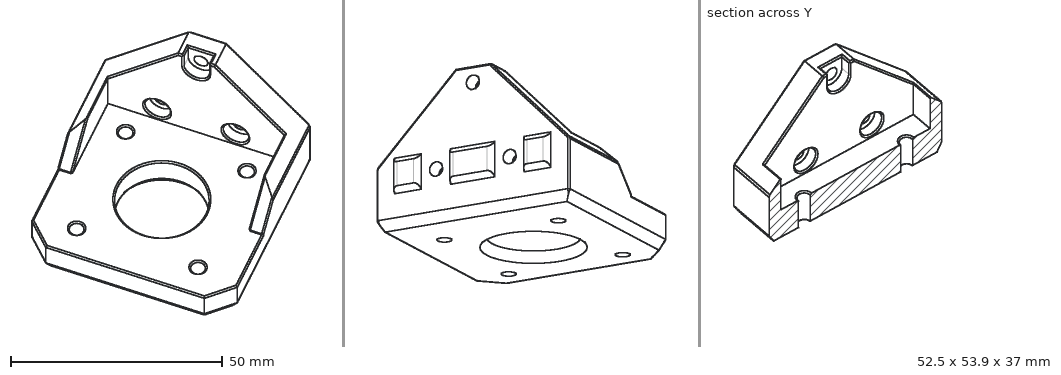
import cadquery as cq
import math

width = 52.5
depth = 52.5
height = 37.0
half_width = width / 2
back_y = 29.25
front_y = back_y - depth
front_corner = 6.0

edge_break = 0.4

bevel_inset = 1.5
bevel_angle = 30.0
bevel_height = bevel_inset / math.tan(math.radians(bevel_angle))

plate_top = 9.0
motor_hole_diameter = 3.5
motor_hole_pitch = 31.0
pilot_diameter = 22.4

back_wall = 7.5
side_wall = 3.7
inner_half_width = half_width - side_wall
inner_y = back_y - back_wall
peak_half_width = 4.75
shoulder_z = height - (half_width - peak_half_width)
side_wall_top = height - (inner_half_width - peak_half_width)
side_wall_front_y = -0.9
side_wall_toe_z = plate_top + 0.4
slope_top_y = side_wall_front_y + side_wall_top - side_wall_toe_z

screw_hole_diameter = 3.5
screw_head_diameter = 6.5
screw_head_seat_y = inner_y + 3.0
low_screw_x = 10.0
low_screw_z = 13.0
top_screw_z = 33.0

tab_projection = 1.4
tab_base_height = 8.8
tab_screw_gap = 8.0
middle_tab_length = 2 * low_screw_x - tab_screw_gap
outer_tab_length = 7.25
outer_tab_x = low_screw_x + (tab_screw_gap + outer_tab_length) / 2


pick = 0.1


def box_between(corner, opposite):
    """Block spanning two opposite corners."""
    size = [far - near for near, far in zip(corner, opposite)]
    return cq.Workplane("XY").box(*size, centered=False).translate(corner)


def edges_between(body, corner, opposite):
    """Edges of the body whose centres lie between two opposite corners."""
    return body.edges(cq.selectors.BoxSelector(corner, opposite))


def footprint(z):
    """Closed plan outline of the bracket at height z."""
    return cq.Workplane("XY", origin=(0, 0, z)).polyline([
        (-half_width, front_y + front_corner),
        (-half_width + front_corner, front_y),
        (half_width - front_corner, front_y),
        (half_width, front_y + front_corner),
        (half_width, back_y - edge_break),
        (half_width - edge_break, back_y),
        (-half_width + edge_break, back_y),
        (-half_width, back_y - edge_break),
    ]).close()


def make_underside():
    """Bevelled slab below the upright faces, narrowing downwards."""
    return footprint(bevel_height).extrude(-bevel_height, taper=bevel_angle)


def make_plate():
    """Motor plate with its top rim chamfered."""
    plate = footprint(bevel_height).extrude(plate_top - bevel_height)
    return plate.faces(">Z").edges("not >Y").chamfer(edge_break)


def make_gable_block():
    """Solid block under the 45 degree gable, reaching to the front of the side walls."""
    block_depth = back_y - side_wall_front_y
    gable = (
        cq.Workplane("XZ", origin=(0, back_y, 0))
        .polyline([
            (-half_width, bevel_height),
            (half_width, bevel_height),
            (half_width, shoulder_z),
            (peak_half_width, height),
            (-peak_half_width, height),
            (-half_width, shoulder_z),
        ])
        .close()
        .extrude(block_depth)
    )
    for x in (-half_width, half_width):
        gable = edges_between(
            gable,
            (x - pick, side_wall_front_y + pick, shoulder_z - pick),
            (x + pick, back_y - pick, shoulder_z + pick),
        ).chamfer(edge_break)
    return gable.faces(">Y").edges("not <Z").chamfer(edge_break)


def cut_inside(block):
    """Leave a back wall and two side walls with sloped fronts."""
    room = box_between(
        (-inner_half_width, side_wall_front_y, bevel_height), (inner_half_width, inner_y, height)
    )
    over_slope = (
        cq.Workplane("YZ", origin=(-half_width, 0, 0))
        .polyline([
            (side_wall_front_y, side_wall_toe_z),
            (slope_top_y, side_wall_top),
            (side_wall_front_y, side_wall_top),
        ])
        .close()
        .extrude(width)
    )
    return block.cut(room).cut(over_slope)


def break_wall_edges(walls):
    """Chamfer the rims of the side walls and the inner rim of the back wall."""
    for x in (-half_width, half_width):
        walls = edges_between(
            walls,
            (x - pick, side_wall_front_y - pick, bevel_height),
            (x + pick, slope_top_y, side_wall_top),
        ).chamfer(edge_break)

    rim = edges_between(
        walls,
        (-inner_half_width, inner_y - pick, side_wall_top + pick),
        (inner_half_width, inner_y + pick, height + pick),
    )
    for x in (-inner_half_width, inner_half_width):
        rim = rim.add(edges_between(
            walls,
            (x - pick, side_wall_front_y - pick, bevel_height + pick),
            (x + pick, inner_y - pick, side_wall_top + pick),
        ))
    return rim.chamfer(edge_break)


def screw_pocket(x, z):
    """Cutter for a screw through the back wall, with a chamfered head pocket."""
    mouth = cq.Workplane("XZ", origin=(x, inner_y, z))
    seat_depth = screw_head_seat_y - inner_y
    head = mouth.circle(screw_head_diameter / 2).extrude(-seat_depth)
    mouth_radius = screw_head_diameter / 2 + edge_break
    mouth_chamfer = mouth.circle(mouth_radius).extrude(-edge_break, taper=45)
    shank = mouth.circle(screw_hole_diameter / 2).extrude(-back_wall)
    return head.union(mouth_chamfer).union(shank)


def slot_to_top():
    """Cutter opening the top screw pocket through the peak, with chamfered sides."""
    half_slot = screw_head_diameter / 2
    slot = box_between(
        (-half_slot, inner_y, top_screw_z), (half_slot, screw_head_seat_y, height)
    )
    front_chamfer = (
        cq.Workplane("XY", origin=(0, 0, top_screw_z))
        .polyline([
            (-half_slot - edge_break, inner_y),
            (half_slot + edge_break, inner_y),
            (half_slot, inner_y + edge_break),
            (-half_slot, inner_y + edge_break),
        ])
        .close()
        .extrude(height - top_screw_z)
    )
    top_chamfer = (
        cq.Workplane("XY", origin=(0, 0, height))
        .polyline([
            (-half_slot - edge_break, inner_y - edge_break),
            (half_slot + edge_break, inner_y - edge_break),
            (half_slot + edge_break, screw_head_seat_y + edge_break),
            (-half_slot - edge_break, screw_head_seat_y + edge_break),
        ])
        .close()
        .extrude(-edge_break, taper=45)
    )
    return slot.union(front_chamfer).union(top_chamfer)


def plate_hole(x, y, diameter):
    """Cutter for a hole through the plate, chamfered at the top."""
    top = cq.Workplane("XY", origin=(x, y, plate_top))
    bore = top.circle(diameter / 2).extrude(-plate_top)
    return bore.union(top.circle(diameter / 2 + edge_break).extrude(-edge_break, taper=45))


def pilot_bore():
    """Cutter for the motor pilot, bevelled below like the outside."""
    bevel = (
        cq.Workplane("XY")
        .circle(pilot_diameter / 2 + bevel_inset)
        .extrude(bevel_height, taper=bevel_angle)
    )
    return plate_hole(0, 0, pilot_diameter).union(bevel)


def locating_tab(x, length):
    """Dovetail-sided tab on the back face, with its ends rounded in plan."""
    tip_y = back_y + tab_projection
    half_base = tab_base_height / 2
    half_tip = half_base - tab_projection
    section = (
        cq.Workplane("YZ", origin=(x - length / 2, 0, low_screw_z))
        .polyline([
            (back_y - edge_break, -half_base),
            (back_y, -half_base),
            (tip_y, -half_tip),
            (tip_y, half_tip),
            (back_y, half_base),
            (back_y - edge_break, half_base),
        ])
        .close()
        .extrude(length)
    )
    plan = box_between(
        (x - length / 2, back_y - edge_break, low_screw_z - half_base),
        (x + length / 2, tip_y, low_screw_z + half_base),
    ).edges("|Z and >Y").fillet(tab_projection)
    return section.intersect(plan)


walls = break_wall_edges(cut_inside(make_gable_block()))
result = make_underside().union(make_plate()).union(walls)

for tab_x, tab_length in (
    (-outer_tab_x, outer_tab_length),
    (0, middle_tab_length),
    (outer_tab_x, outer_tab_length),
):
    result = result.union(locating_tab(tab_x, tab_length))

for screw_x, screw_z in ((-low_screw_x, low_screw_z), (low_screw_x, low_screw_z), (0, top_screw_z)):
    result = result.cut(screw_pocket(screw_x, screw_z))
result = result.cut(slot_to_top())

for motor_x in (-motor_hole_pitch / 2, motor_hole_pitch / 2):
    for motor_y in (-motor_hole_pitch / 2, motor_hole_pitch / 2):
        result = result.cut(plate_hole(motor_x, motor_y, motor_hole_diameter))
result = result.cut(pilot_bore())